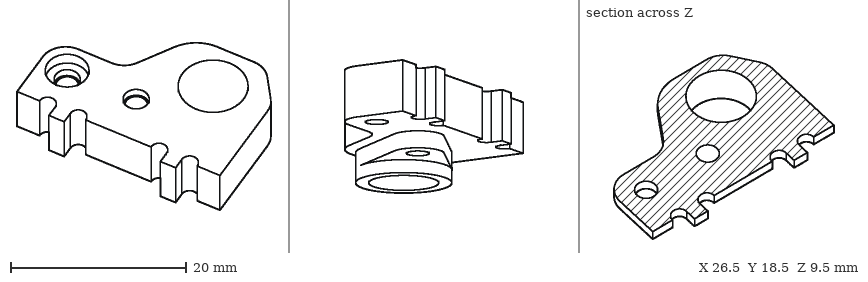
import cadquery as cq
import math

length = 26.5
thickness = 6.0
shoulder_depth = 9.05
lobe_depth = 17.07
shoulder_end_x = 9.0
lobe_left_x = 13.9
lobe_right_x = 23.05
right_side_depth = 12.25
corner_radius = 3.0
lobe_radius = 5.0

tab_width = 2.0
tab_reach = 1.43
tab_centers_x = (5.95, 20.5)
notch_radius = 1.0
notch_center_y = 0.05

bore_center = (19.2, 11.55)
bore_diameter = 8.0
screw_center = (3.47, 5.56)
pivot_center = (12.48, screw_center[1])
hole_diameter = 2.6
wide_hole_diameter = 3.0
wide_hole_depth = 1.0
counterbore_diameter = 5.0
counterbore_depth = 1.5

bore_boss_radius = lobe_depth - bore_center[1]
bore_boss_height = 3.5
pivot_boss_radius = 3.0
arm_height = 2.0


def cylinder(center, radius, bottom, top):
    """Vertical cylinder between two heights."""
    return cq.Workplane("XY", origin=(*center, bottom)).circle(radius).extrude(top - bottom)


def make_plate():
    """Flat plate with rounded rear corners; its underside is at Z = 0."""
    corners = [
        (0, 0),
        (length, 0),
        (length, right_side_depth),
        (lobe_right_x, lobe_depth),
        (lobe_left_x, lobe_depth),
        (shoulder_end_x, shoulder_depth),
        (0, shoulder_depth),
    ]
    plate = cq.Workplane("XY").polyline(corners).close().extrude(thickness)

    def corner_edge(corner):
        return cq.selectors.NearestToPointSelector((*corner, thickness / 2))

    lobe_corner = corners[4]
    for corner in corners[2:]:
        radius = lobe_radius if corner == lobe_corner else corner_radius
        plate = plate.edges("|Z").edges(corner_edge(corner)).fillet(radius)
    return plate


def add_tab(plate, center_x):
    """Front tab with a notch centred one notch radius outside each flank."""
    tab_rear = notch_center_y + notch_radius
    tab = cq.Workplane("XY").box(
        tab_width, tab_reach + tab_rear, thickness, centered=(True, False, False)
    ).translate((center_x, -tab_reach, 0))
    plate = plate.union(tab)
    for side in (-1, 1):
        notch_x = center_x + side * (tab_width / 2 + notch_radius)
        plate = plate.cut(cylinder((notch_x, notch_center_y), notch_radius, 0, thickness))
    return plate


def make_arm():
    """Arm joining the pivot boss to the bore boss along their outer tangents."""
    dx = bore_center[0] - pivot_center[0]
    dy = bore_center[1] - pivot_center[1]
    axis_angle = math.atan2(dy, dx)
    tangent_angle = math.acos((pivot_boss_radius - bore_boss_radius) / math.hypot(dx, dy))

    def rim_point(center, radius, angle):
        return (center[0] + radius * math.cos(angle), center[1] + radius * math.sin(angle))

    left = axis_angle + tangent_angle
    right = axis_angle - tangent_angle
    return (
        cq.Workplane("XY", origin=(0, 0, -arm_height))
        .moveTo(*rim_point(pivot_center, pivot_boss_radius, right))
        .lineTo(*rim_point(bore_center, bore_boss_radius, right))
        .threePointArc(
            rim_point(bore_center, bore_boss_radius, axis_angle),
            rim_point(bore_center, bore_boss_radius, left),
        )
        .lineTo(*rim_point(pivot_center, pivot_boss_radius, left))
        .threePointArc(
            rim_point(pivot_center, pivot_boss_radius, axis_angle + math.pi),
            rim_point(pivot_center, pivot_boss_radius, right),
        )
        .close()
        .extrude(arm_height)
    )


def stepped_hole(center, wide_floor):
    """Through hole that widens above the given height."""
    narrow = cylinder(center, hole_diameter / 2, -arm_height, thickness)
    wide = cylinder(center, wide_hole_diameter / 2, wide_floor, thickness)
    return narrow.union(wide)


body = make_plate()
for tab_x in tab_centers_x:
    body = add_tab(body, tab_x)

body = body.union(make_arm())
body = body.union(cylinder(bore_center, bore_boss_radius, -bore_boss_height, 0))

counterbore_floor = thickness - counterbore_depth
body = body.cut(cylinder(bore_center, bore_diameter / 2, -bore_boss_height, thickness))
body = body.cut(cylinder(screw_center, counterbore_diameter / 2, counterbore_floor, thickness))
body = body.cut(stepped_hole(screw_center, counterbore_floor - wide_hole_depth))
body = body.cut(stepped_hole(pivot_center, thickness - wide_hole_depth))

result = body